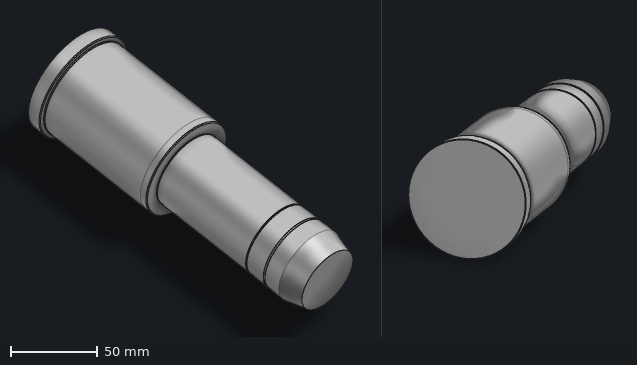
import cadquery as cq
import math

total_length = 211.0
head_diameter = 72.0
head_length = 10.0
head_chamfer = 0.6
head_face_chamfer = 0.5

body_diameter = 66.0
body_end = 95.0
body_chamfer = 0.6
neck_relief_width = 1.0
neck_relief_depth = 0.2
lead_length = 5.0
lead_depth = 0.1

pin_diameter = 50.0
pin_relief_width = 0.6
nose_length = 15.0
nose_angle = 15.0

groove_depth = 0.2
narrow_groove_start = 168.5
narrow_groove_width = 0.8
wide_groove_start = 183.1
wide_groove_width = 1.3


def cylinder(start, length, diameter):
    """Solid cylinder along +X that begins at the given X."""
    return cq.Workplane("YZ", origin=(start, 0, 0)).circle(diameter / 2).extrude(length)


def ring(start, width, diameter, depth):
    """Material taken off a cylinder to leave a groove of the given width and depth."""
    outer = cylinder(start, width, diameter)
    return outer.cut(cylinder(start, width, diameter - 2 * depth))


head = cylinder(0, head_length, head_diameter)
head = head.faces(">X").chamfer(head_chamfer)
head = head.faces("<X").chamfer(head_face_chamfer)

body = cylinder(head_length, body_end - head_length, body_diameter)
body = body.cut(ring(head_length, neck_relief_width, body_diameter, neck_relief_depth))
body = body.faces(">X").chamfer(lead_length, lead_depth)
body = body.faces(">X").chamfer(body_chamfer)

pin = cylinder(body_end, total_length - body_end, pin_diameter)
nose_drop = nose_length * math.tan(math.radians(nose_angle))
pin = pin.faces(">X").chamfer(nose_length, nose_drop)

pin_grooves = [
    (body_end, pin_relief_width),
    (narrow_groove_start, narrow_groove_width),
    (wide_groove_start, wide_groove_width),
]
for start, width in pin_grooves:
    pin = pin.cut(ring(start, width, pin_diameter, groove_depth))

result = head.union(body).union(pin)